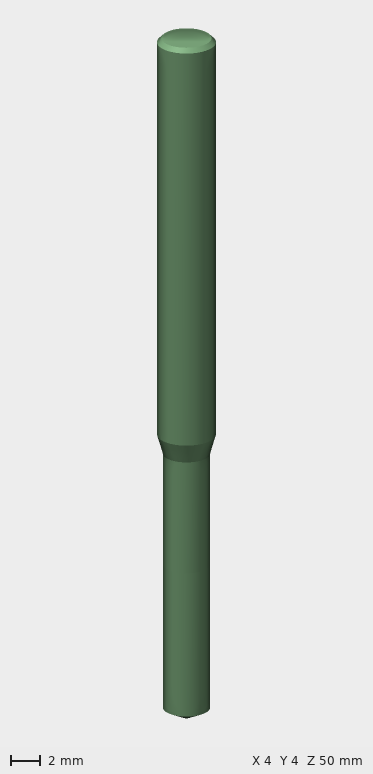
import cadquery as cq
import math

total_length = 50.0
shank_diameter = 4.0
shank_chamfer = 0.3
cutter_diameter = 3.2
neck_diameter = cutter_diameter
point_angle = 125.0
cutter_length = 11.35
neck_end = 19.5
taper_end = 20.9

shank_radius = shank_diameter / 2
neck_radius = neck_diameter / 2
cutter_radius = cutter_diameter / 2
point_height = cutter_radius / math.tan(math.radians(point_angle / 2))


def revolve_profile(points):
    """Revolve a closed (radius, height) outline around Z."""
    return cq.Workplane("XZ").polyline(points).close().revolve(360, (0, 0), (0, 1))


def make_cutter():
    """Cylindrical cutting head with a conical point."""
    return revolve_profile([
        (0, 0),
        (cutter_radius, point_height),
        (cutter_radius, cutter_length),
        (0, cutter_length),
    ])


def make_shank():
    """Neck, tapered shoulder and shank with a chamfered rear end."""
    return revolve_profile([
        (0, cutter_length),
        (neck_radius, cutter_length),
        (neck_radius, neck_end),
        (shank_radius, taper_end),
        (shank_radius, total_length - shank_chamfer),
        (shank_radius - shank_chamfer, total_length),
        (0, total_length),
    ])


cutter = make_cutter()
shank = make_shank()

result = cq.Compound.makeCompound([cutter.val(), shank.val()])